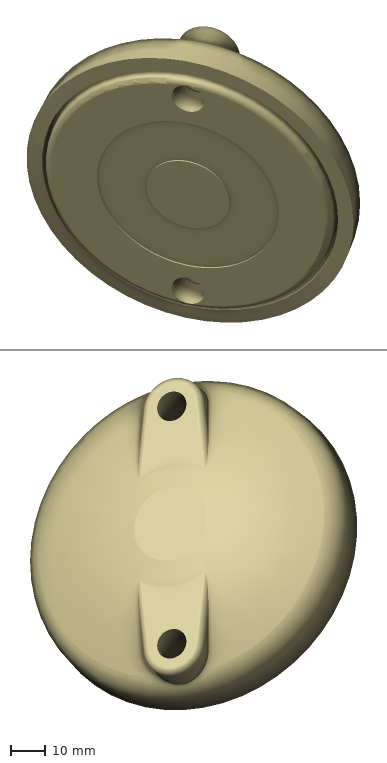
import cadquery as cq
import math


cover_radius = 49.5
rim_y = 2.0
wall_top_y = 8.9
wall_top_radius = 49.2
dome_edge_y = 15.6
dome_edge_radius = 44.55
dome_top_y = 24.0
dome_flat_radius = 11.4

cavity_mouth_radius = 44.8
cavity_floor_radius = 44.5
cavity_floor_y = wall_top_y

bar_top_y = 23.0
bar_base_y = 9.9
bar_middle_radius = 13.5
bar_end_radius = 9.3
bar_draft = 1.5
bar_edge_fillet = 2.0

hole_offset = 37.0
cover_hole_radius = 4.6
insert_hole_radius = 4.95

insert_radius = 43.6
insert_edge_fillet = 2.0
groove_outer_radius = 27.5
groove_inner_radius = 12.6
groove_depth = 0.5


def facing_back(y):
    """Workplane at height y whose local axes are X and -Z and whose normal is +Y."""
    return cq.Workplane(cq.Plane(origin=(0, y, 0), xDir=(1, 0, 0), normal=(0, 1, 0)))


def disc(radius, y_start, y_end):
    return facing_back(y_start).circle(radius).extrude(y_end - y_start)


def screw_holes(radius):
    """A pair of cutters that reach through the whole assembly."""
    centres = [(0, hole_offset), (0, -hole_offset)]
    return facing_back(0).pushPoints(centres).circle(radius).extrude(dome_top_y)


def make_dome_cap():
    """Revolved outline: sloping wall, rounded shoulder, spherical dome and flat crown."""
    dome_height = dome_top_y - dome_edge_y
    centre_below_edge = (dome_edge_radius**2 - dome_flat_radius**2 - dome_height**2) / (2 * dome_height)
    sphere_radius = math.hypot(dome_edge_radius, centre_below_edge)
    mid_radius = (dome_edge_radius + dome_flat_radius) / 2
    mid_y = dome_edge_y - centre_below_edge + math.sqrt(sphere_radius**2 - mid_radius**2)
    outline = (
        cq.Workplane("XY")
        .moveTo(0, rim_y)
        .lineTo(cover_radius, rim_y)
        .lineTo(wall_top_radius, wall_top_y)
        .tangentArcPoint((dome_edge_radius, dome_edge_y), relative=False)
        .threePointArc((mid_radius, mid_y), (dome_flat_radius, dome_top_y))
        .lineTo(0, dome_top_y)
        .close()
    )
    return outline.revolve(360, (0, 0, 0), (0, 1, 0))


def make_bar():
    """Bar with round ends whose straight flanks are tangent to the end and middle circles."""
    flank_angle = math.asin((bar_middle_radius - bar_end_radius) / hole_offset)
    flank_x = bar_end_radius * math.cos(flank_angle)
    flank_z = hole_offset + bar_end_radius * math.sin(flank_angle)
    middle_x = bar_middle_radius * math.cos(flank_angle)
    middle_z = bar_middle_radius * math.sin(flank_angle)
    tip_z = hole_offset + bar_end_radius
    outline = (
        cq.Workplane("XZ", origin=(0, bar_top_y, 0))
        .moveTo(middle_x, middle_z)
        .lineTo(flank_x, flank_z)
        .threePointArc((0, tip_z), (-flank_x, flank_z))
        .lineTo(-middle_x, middle_z)
        .threePointArc((-bar_middle_radius, 0), (-middle_x, -middle_z))
        .lineTo(-flank_x, -flank_z)
        .threePointArc((0, -tip_z), (flank_x, -flank_z))
        .lineTo(middle_x, -middle_z)
        .threePointArc((bar_middle_radius, 0), (middle_x, middle_z))
        .close()
    )
    bar = outline.extrude(bar_top_y - bar_base_y, taper=-bar_draft)
    return bar.faces(">Y").edges().fillet(bar_edge_fillet)


def make_cavity():
    return (
        facing_back(rim_y)
        .circle(cavity_mouth_radius)
        .workplane(offset=cavity_floor_y - rim_y)
        .circle(cavity_floor_radius)
        .loft()
    )


def make_cover():
    solid_cover = make_dome_cap().union(make_bar())
    return solid_cover.cut(make_cavity()).cut(screw_holes(cover_hole_radius))


def make_insert():
    plate = disc(insert_radius, 0, cavity_floor_y).faces("<Y").edges().fillet(insert_edge_fillet)
    groove = disc(groove_outer_radius, 0, groove_depth).cut(disc(groove_inner_radius, 0, groove_depth))
    return plate.cut(groove).cut(screw_holes(insert_hole_radius))


cover = make_cover()
insert = make_insert()

result = cq.Compound.makeCompound([cover.val(), insert.val()])